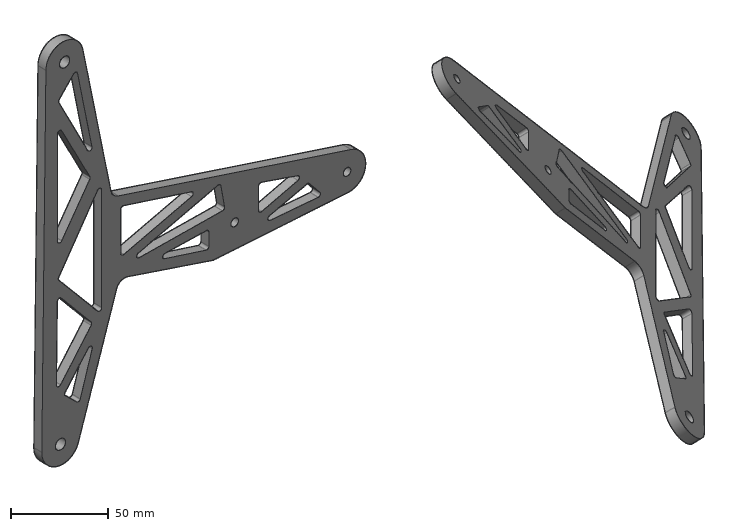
import cadquery as cq
import math

thickness = 6.3
end_radius = 12.7
inner_corner_radius = 6.3
window_radius = 1.5
end_hole_diameter = 6.9
arm_hole_diameter = 5.0

arm_tip = (0, 0)
top_end = (191.5, 142.2)
bottom_end = (194.3, -86.3)
arm_middle = (76.2, 0)

upper_inner_corner = (159.2, 48.3)
lower_inner_corner = (154.5, -2.5)
arm_bend = (90.7, -17.0)

windows = [
    [(171.0, 73.6), (183.4, 135.0), (195.8, 120.5)],
    [(174.0, 65.8), (196.3, 107.0), (196.3, 31.2)],
    [(166.3, -19.3), (166.3, 60.7), (196.0, 13.5)],
    [(172.7, -22.0), (196.3, 4.0), (197.0, -54.3)],
    [(181.5, -66.8), (170.5, -29.5), (192.0, -57.6)],
    [(100.3, 29.0), (153.5, 40.5), (153.5, 10.0)],
    [(82.8, 10.5), (85.8, 27.5), (153.5, 3.3)],
    [(93.7, -9.5), (93.7, 2.8), (133.5, -0.8)],
    [(28.5, 10.0), (60.0, 17.3), (60.0, -1.5)],
    [(16.3, -7.4), (26.2, 3.8), (62.0, -8.6)],
]


def point_on_end(center, angle):
    """Point at the given angle on the rounded end about center."""
    return (
        center[0] + end_radius * math.cos(angle),
        center[1] + end_radius * math.sin(angle),
    )


def tangent_angle(center, corner, side):
    """Angle of the tangent point from corner; side +1 is counter-clockwise of the corner."""
    du = corner[0] - center[0]
    dz = corner[1] - center[1]
    return math.atan2(dz, du) + side * math.acos(end_radius / math.hypot(du, dz))


def add_rounded_end(sketch, center, start_angle, end_angle):
    """Draw to the end's first tangent point, then clockwise round it."""
    sweep = (start_angle - end_angle) % (2 * math.pi)
    middle = point_on_end(center, start_angle - sweep / 2)
    sketch = sketch.lineTo(*point_on_end(center, start_angle))
    return sketch.threePointArc(middle, point_on_end(center, end_angle))


def plate_plane():
    """Plane whose local axes are u and z, with its normal along -X."""
    return cq.Workplane(cq.Plane(origin=(thickness / 2, 0, 0), xDir=(0, -1, 0), normal=(-1, 0, 0)))


def make_blank():
    back_angle = math.atan2(top_end[1] - bottom_end[1], top_end[0] - bottom_end[0]) - math.pi / 2
    outline = plate_plane().moveTo(*upper_inner_corner)
    outline = add_rounded_end(
        outline, top_end, tangent_angle(top_end, upper_inner_corner, -1), back_angle
    )
    outline = add_rounded_end(
        outline, bottom_end, back_angle, tangent_angle(bottom_end, lower_inner_corner, 1)
    )
    outline = outline.lineTo(*lower_inner_corner).lineTo(*arm_bend)
    outline = add_rounded_end(
        outline,
        arm_tip,
        tangent_angle(arm_tip, arm_bend, -1),
        tangent_angle(arm_tip, upper_inner_corner, 1),
    )
    blank = outline.close().extrude(thickness)
    for u, z in (upper_inner_corner, lower_inner_corner):
        edge = cq.selectors.NearestToPointSelector((0, -u, z))
        blank = blank.edges("|X").edges(edge).fillet(inner_corner_radius)
    return blank


def make_window(corners):
    return plate_plane().polyline(corners).close().extrude(thickness).edges("|X").fillet(window_radius)


def make_holes(centers, diameter):
    return plate_plane().pushPoints(centers).circle(diameter / 2).extrude(thickness)


result = make_blank()
for window_corners in windows:
    result = result.cut(make_window(window_corners))
result = result.cut(make_holes([top_end, bottom_end], end_hole_diameter))
result = result.cut(make_holes([arm_tip, arm_middle], arm_hole_diameter))